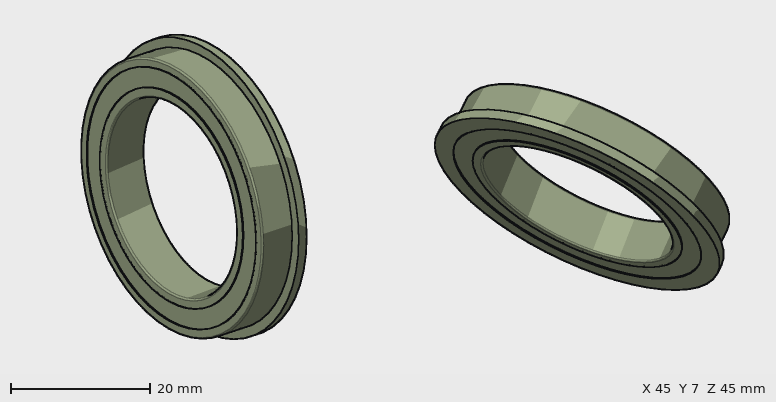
import cadquery as cq

flange_diameter = 45.0
body_diameter = 42.0
bore_diameter = 30.0
width = 7.0
flange_thickness = 1.5
edge_radius = 0.25

shield_outer_diameter = 39.15
shield_inner_diameter = 33.05
shield_recess = 0.2


def ring(outer_diameter, inner_diameter, y_start, length):
    """Annular ring along Y, starting at y_start and extending toward +Y."""
    return (
        cq.Workplane("XZ", origin=(0, y_start, 0))
        .circle(outer_diameter / 2)
        .circle(inner_diameter / 2)
        .extrude(-length)
    )


body = ring(body_diameter, bore_diameter, 0, width)
body = body.faces("<Y").edges().fillet(edge_radius)
body = body.faces(">Y").edges(cq.selectors.RadiusNthSelector(0)).fillet(edge_radius)

flange = ring(flange_diameter, shield_outer_diameter, width - flange_thickness, flange_thickness)
result = body.union(flange)

for recess_start in (0, width - shield_recess):
    result = result.cut(ring(shield_outer_diameter, shield_inner_diameter, recess_start, shield_recess))